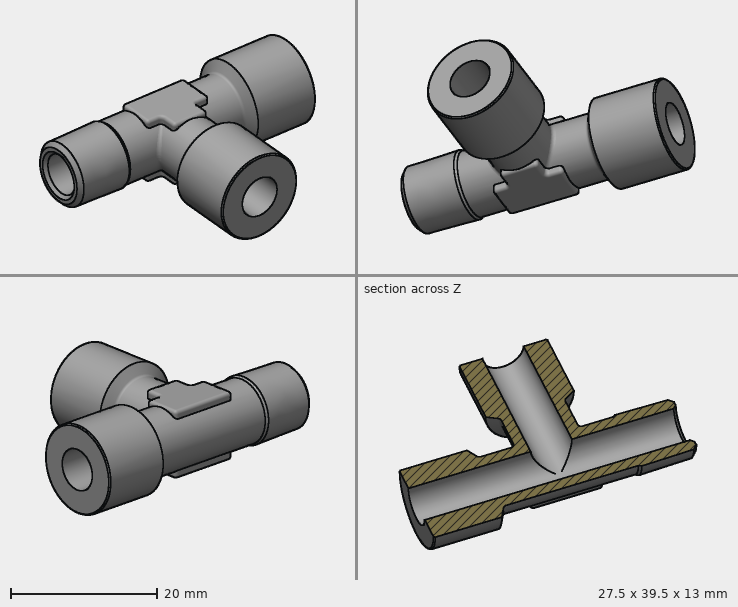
import cadquery as cq
import math


socket_radius = 13.0 / 2
socket_length = 10.0
socket_reach = 21.0
mouth_chamfer = 0.2
neck_radius = 4.75
cone_angle = 30
blend_radius = 0.5

run_length = 39.5
male_reach = run_length - socket_reach
male_length = 8.37
male_root_radius = 4.98
male_tip_radius = 4.8
root_step_angle = 30
tip_chamfer = 0.67

bore_radius = 3.0
bore_chamfer = 0.5

pad_half_width = 2.85
pad_half_length = 5.3
pad_arm_reach = 2 * pad_half_width
pad_height = 5.0


def add_socket_outline(outline):
    """Continue a (radius, axial) half outline from the neck to the socket mouth."""
    socket_start = socket_reach - socket_length
    slope = math.radians(cone_angle)
    cone_start = socket_start - (socket_radius - neck_radius) * math.tan(slope)
    blend_tangent = blend_radius * math.tan((math.pi / 2 - slope) / 2)
    return (
        outline.lineTo(neck_radius, cone_start - blend_tangent)
        .tangentArcPoint(
            (
                neck_radius + blend_tangent * math.cos(slope),
                cone_start + blend_tangent * math.sin(slope),
            ),
            relative=False,
        )
        .lineTo(socket_radius, socket_start)
        .lineTo(socket_radius, socket_reach - mouth_chamfer)
        .lineTo(socket_radius - mouth_chamfer, socket_reach)
        .lineTo(0, socket_reach)
    )


def revolve_about_y(outline):
    return outline.close().revolve(360, (0, 0, 0), (0, 1, 0))


def make_run():
    male_root = male_length - male_reach
    step_length = (male_root_radius - neck_radius) / math.tan(math.radians(root_step_angle))
    outline = (
        cq.Workplane("XY")
        .moveTo(0, -male_reach)
        .lineTo(male_tip_radius - tip_chamfer, -male_reach)
        .lineTo(male_tip_radius, tip_chamfer - male_reach)
        .lineTo(male_root_radius, male_root)
        .lineTo(neck_radius, male_root + step_length)
    )
    return revolve_about_y(add_socket_outline(outline))


def make_branch():
    outline = cq.Workplane("XY").lineTo(neck_radius, 0)
    along_y = revolve_about_y(add_socket_outline(outline))
    return along_y.rotate((0, 0, 0), (0, 0, 1), -90)


def make_pads():
    """One T-shaped block through the junction; its two faces form both pads."""
    stem = cq.Workplane("XY").box(2 * pad_half_width, 2 * pad_half_length, 2 * pad_height)
    arm = cq.Workplane("XY").box(pad_arm_reach, 2 * pad_half_width, 2 * pad_height)
    block = stem.union(arm.translate((pad_arm_reach / 2, 0, 0)))
    return block.edges("|Z or >Z or <Z").fillet(blend_radius)


def make_bores():
    run_bore = cq.Workplane("XZ").circle(bore_radius).extrude(socket_reach, both=True)
    branch_bore = cq.Workplane("YZ").circle(bore_radius).extrude(socket_reach)
    tip_countersink = revolve_about_y(
        cq.Workplane("XY")
        .moveTo(0, -male_reach)
        .lineTo(bore_radius + bore_chamfer, -male_reach)
        .lineTo(bore_radius, bore_chamfer - male_reach)
        .lineTo(0, bore_chamfer - male_reach)
    )
    return run_bore.union(branch_bore).union(tip_countersink)


def blend_crotches(body):
    """Round the inside corners where the branch neck meets the run neck."""
    return body.edges("%ELLIPSE").fillet(blend_radius)


tee = blend_crotches(make_run().union(make_branch()))
result = tee.union(make_pads()).cut(make_bores())